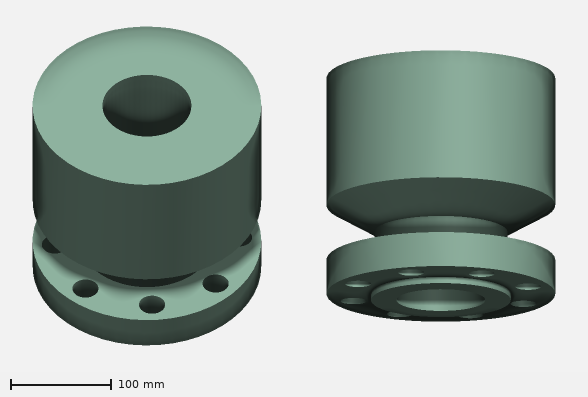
import cadquery as cq

outer_diameter = 228.5
total_height = 228.5
bore_diameter = 89.0

raised_face_height = 6.5
flange_thickness = 35.0
neck_height = 28.5
cone_height = 28.0

raised_face_diameter = 139.7
neck_diameter = 133.3

bolt_hole_count = 8
bolt_hole_diameter = 26.0
bolt_circle_diameter = 184.3

flange_bottom = raised_face_height
flange_top = flange_bottom + flange_thickness
neck_top = flange_top + neck_height
cone_top = neck_top + cone_height


def revolved_body():
    """Bored solid of revolution: raised face, flange, neck, cone and upper cylinder."""
    bore_radius = bore_diameter / 2
    raised_face_radius = raised_face_diameter / 2
    outer_radius = outer_diameter / 2
    neck_radius = neck_diameter / 2
    profile = [
        (bore_radius, 0),
        (raised_face_radius, 0),
        (raised_face_radius, flange_bottom),
        (outer_radius, flange_bottom),
        (outer_radius, flange_top),
        (neck_radius, flange_top),
        (neck_radius, neck_top),
        (outer_radius, cone_top),
        (outer_radius, total_height),
        (bore_radius, total_height),
    ]
    return cq.Workplane("XZ").polyline(profile).close().revolve(360, (0, 0), (0, 1))


def bolt_holes():
    """Ring of cylinders that pass through the flange thickness."""
    return (
        cq.Workplane("XY")
        .workplane(offset=flange_bottom)
        .polarArray(bolt_circle_diameter / 2, 0, 360, bolt_hole_count)
        .circle(bolt_hole_diameter / 2)
        .extrude(flange_thickness)
    )


result = revolved_body().cut(bolt_holes())